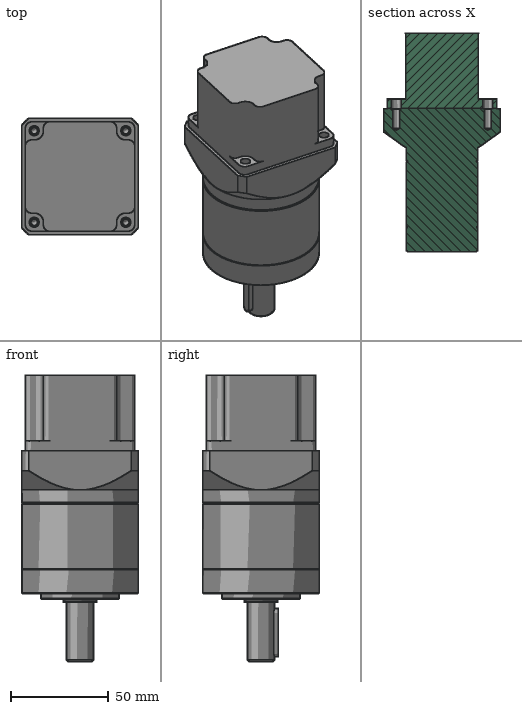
import cadquery as cq
import math


motor_height = 38.8
motor_width = 56.4
flange_thickness = 5.0
flange_corner_radius = 3.6
screw_spacing = 47.14
screw_clearance_diameter = 5.0
relief_radius = 4.75
relief_lip_radius = 3.2

housing_width = 60.0
housing_radius = housing_width / 2
adapter_corner_radius = 40.0
adapter_length = 20.25
housing_length = 73.7
housing_chamfer = 0.5
screw_tap_diameter = 3.4
screw_countersink_diameter = 4.2
screw_tap_depth = 10.0
drill_point_angle = 118.0

upper_groove_z = -27.1
upper_groove_depth = 0.4
lower_groove_z = -61.1
lower_groove_depth = 0.25

pilot_diameter = 40.4
pilot_length = 2.7
collar_diameter = 17.4
collar_length = 1.7
collar_rim_length = 0.5
collar_chamfer = 0.3
collar_waist_inset = 0.4
pilot_chamfer = 0.4
shaft_diameter = 14.0
shaft_length = 35.0
shaft_chamfer = 1.0

key_width = 5.0
key_length = 25.0
key_top = 9.0
key_end_gap = 2.5

housing_face_z = -housing_length
pilot_face_z = housing_face_z - pilot_length
collar_face_z = pilot_face_z - collar_length
shaft_end_z = housing_face_z - shaft_length


def chamfered_cylinder(diameter, top_z, bottom_z, chamfer):
    """Cylinder whose lower rim is chamfered."""
    return (
        cq.Workplane("XY")
        .workplane(offset=bottom_z)
        .circle(diameter / 2)
        .extrude(top_z - bottom_z)
        .faces("<Z")
        .edges()
        .chamfer(chamfer)
    )


def four_corners(offset):
    return [(sx * offset, sy * offset) for sx in (-1, 1) for sy in (-1, 1)]


screw_points = four_corners(screw_spacing / 2)
relief_inner_corner = screw_spacing / 2 - relief_radius


def corner_reliefs():
    """Square notches above the flange that leave room for the four screws."""
    outer = motor_width / 2
    center = (relief_inner_corner + outer) / 2
    size = outer - relief_inner_corner
    return (
        cq.Workplane("XY")
        .workplane(offset=flange_thickness)
        .pushPoints(four_corners(center))
        .rect(size, size)
        .extrude(motor_height - flange_thickness)
    )


def make_motor():
    can_height = motor_height - flange_thickness
    can = (
        cq.Workplane("XY")
        .workplane(offset=flange_thickness)
        .rect(motor_width, motor_width)
        .extrude(can_height)
        .cut(corner_reliefs())
    )
    middle = (relief_inner_corner + motor_width / 2) / 2
    inner_edges = cq.selectors.BoxSelector((-middle, -middle, 0), (middle, middle, motor_height))
    can = can.edges("|Z").edges(inner_edges).fillet(relief_radius)
    lip_edges = []
    for side in ("<X", ">X", "<Y", ">Y"):
        lip_edges += can.faces(side).edges("|Z").vals()
    can = can.newObject(lip_edges).fillet(relief_lip_radius)

    flange = (
        cq.Workplane("XY")
        .rect(motor_width, motor_width)
        .extrude(flange_thickness)
        .edges("|Z")
        .fillet(flange_corner_radius)
    )
    holes = (
        cq.Workplane("XY")
        .pushPoints(screw_points)
        .circle(screw_clearance_diameter / 2)
        .extrude(flange_thickness)
    )
    return flange.union(can).cut(holes)


def make_housing():
    """Round barrel that flares through a 45 degree cone to a square adapter."""
    flare_top_z = adapter_corner_radius - housing_radius - adapter_length
    turned = (
        cq.Workplane("XZ")
        .moveTo(0, 0)
        .lineTo(adapter_corner_radius, 0)
        .lineTo(adapter_corner_radius, flare_top_z)
        .lineTo(housing_radius, -adapter_length)
        .lineTo(housing_radius, housing_face_z + housing_chamfer)
        .lineTo(housing_radius - housing_chamfer, housing_face_z)
        .lineTo(0, housing_face_z)
        .close()
        .revolve(360, (0, 0, 0), (0, 1, 0))
    )
    square = (
        cq.Workplane("XY")
        .rect(housing_width, housing_width)
        .extrude(-housing_length)
    )
    return turned.intersect(square)


def v_groove(center_z, depth):
    bottom_radius = housing_radius - depth
    return (
        cq.Workplane("XZ")
        .moveTo(bottom_radius, center_z)
        .lineTo(housing_radius + depth, center_z + 2 * depth)
        .lineTo(housing_radius + depth, center_z - 2 * depth)
        .close()
        .revolve(360, (0, 0, 0), (0, 1, 0))
    )


def make_collar():
    """Shaft collar that tapers in from the pilot and ends in a chamfered rim."""
    radius = collar_diameter / 2
    rim_top_z = collar_face_z + collar_rim_length
    return (
        cq.Workplane("XZ")
        .moveTo(0, pilot_face_z)
        .lineTo(radius, pilot_face_z)
        .lineTo(radius - collar_waist_inset, rim_top_z)
        .lineTo(radius, rim_top_z)
        .lineTo(radius, collar_face_z + collar_chamfer)
        .lineTo(radius - collar_chamfer, collar_face_z)
        .lineTo(0, collar_face_z)
        .close()
        .revolve(360, (0, 0, 0), (0, 1, 0))
    )


def tapped_hole(x, y):
    """Blind hole with a conical drill point, countersunk at its mouth at Z = 0."""
    radius = screw_tap_diameter / 2
    mouth_radius = screw_countersink_diameter / 2
    countersink_depth = mouth_radius - radius
    point_length = radius / math.tan(math.radians(drill_point_angle / 2))
    return (
        cq.Workplane("XZ")
        .lineTo(mouth_radius, 0)
        .lineTo(radius, -countersink_depth)
        .lineTo(radius, -screw_tap_depth)
        .lineTo(0, -screw_tap_depth - point_length)
        .close()
        .revolve(360, (0, 0, 0), (0, 1, 0))
        .translate((x, y, 0))
    )


def make_key():
    """Round-ended key, rooted at the shaft axis."""
    center_z = shaft_end_z + key_end_gap + key_length / 2
    return (
        cq.Workplane("XZ")
        .center(0, center_z)
        .slot2D(key_length, key_width, 90)
        .extrude(-key_top)
    )


def make_gearbox():
    gearbox = make_housing()
    gearbox = gearbox.cut(v_groove(upper_groove_z, upper_groove_depth))
    gearbox = gearbox.cut(v_groove(lower_groove_z, lower_groove_depth))
    for x, y in screw_points:
        gearbox = gearbox.cut(tapped_hole(x, y))
    pilot = chamfered_cylinder(pilot_diameter, housing_face_z, pilot_face_z, pilot_chamfer)
    shaft = chamfered_cylinder(shaft_diameter, collar_face_z, shaft_end_z, shaft_chamfer)
    return gearbox.union(pilot).union(make_collar()).union(shaft).union(make_key())


motor = make_motor()
gearbox = make_gearbox()

result = cq.Compound.makeCompound([motor.val(), gearbox.val()])